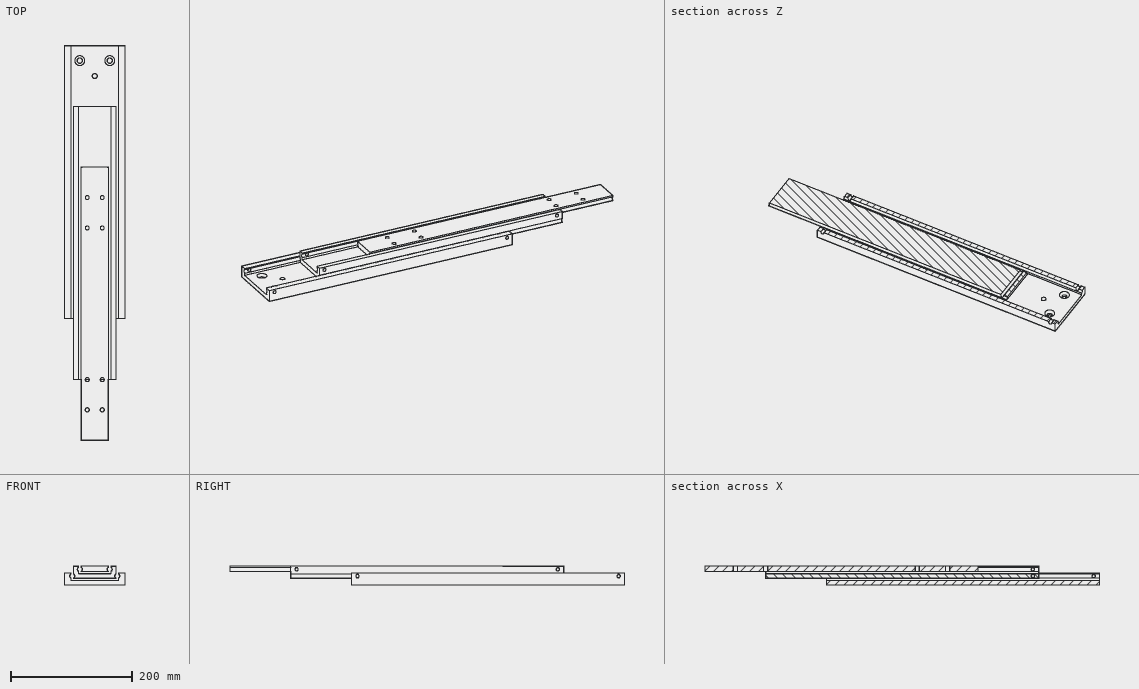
import cadquery as cq

RAIL_LENGTH = 450.0
EXTENSION = 100.0
CHANNEL_HEIGHT = 20.0
FLOOR_THICKNESS = 8.0
RUNNING_CLEARANCE = 3.0

OUTER_WIDTH = 100.0
OUTER_INNER_WIDTH = 78.0
MIDDLE_WIDTH = 70.0
MIDDLE_INNER_WIDTH = 53.0
INNER_WIDTH = 45.0
INNER_THICKNESS = 10.0

MIDDLE_BOTTOM = FLOOR_THICKNESS + RUNNING_CLEARANCE
INNER_BOTTOM = MIDDLE_BOTTOM + FLOOR_THICKNESS + RUNNING_CLEARANCE

OUTER_BACK = 0
MIDDLE_BACK = OUTER_BACK - EXTENSION
INNER_BACK = MIDDLE_BACK - EXTENSION

BALL_RADIUS = 4.0
TRACK_BELOW_TOP = 5.0
LOWER_TRACK_X = (OUTER_INNER_WIDTH + MIDDLE_WIDTH) / 4
LOWER_TRACK_Z = CHANNEL_HEIGHT - TRACK_BELOW_TOP
UPPER_TRACK_X = (MIDDLE_INNER_WIDTH + INNER_WIDTH) / 4
UPPER_TRACK_Z = MIDDLE_BOTTOM + CHANNEL_HEIGHT - TRACK_BELOW_TOP

CROSS_HOLE_DIAMETER = 5.0
CROSS_HOLE_INSET = 10.0

FIXING_HOLE_DIAMETER = 8.5
COUNTERSINK_DIAMETER = 16.0
COUNTERSINK_ANGLE = 90
FIXING_HOLE_X = 25.0
FIXING_HOLE_INSET = 25.0
CENTRE_HOLE_DIAMETER = 8.0
CENTRE_HOLE_INSET = 50.0

LOAD_HOLE_DIAMETER = 6.5
LOAD_HOLE_X = 12.5
LOAD_ROW_INSETS = (50.0, 100.0)


def make_bar(width, bottom, height, back):
    """Rectangular bar of full rail length, centred on X."""
    block = cq.Workplane("XY").box(width, RAIL_LENGTH, height, centered=(True, False, False))
    return block.translate((0, back - RAIL_LENGTH, bottom))


def make_channel(width, inner_width, bottom, back):
    """U-shaped rail that opens upward."""
    body = make_bar(width, bottom, CHANNEL_HEIGHT, back)
    wall_height = CHANNEL_HEIGHT - FLOOR_THICKNESS
    return body.cut(make_bar(inner_width, bottom + FLOOR_THICKNESS, wall_height, back))


def end_positions(back, inset):
    """Y positions at the same inset from the back and the front end of a member."""
    return [back - inset, back - RAIL_LENGTH + inset]


def ball_tracks(track_x, track_z, back):
    """Pair of full-length cylinders that cut the ball tracks."""
    return (
        cq.Workplane("XZ", origin=(0, back, 0))
        .pushPoints([(-track_x, track_z), (track_x, track_z)])
        .circle(BALL_RADIUS)
        .extrude(RAIL_LENGTH)
    )


def cross_drills(width, hole_z, hole_ys):
    """Cylinders along X that pass through the whole width of a rail."""
    return (
        cq.Workplane("YZ", origin=(-width / 2, 0, 0))
        .pushPoints([(y, hole_z) for y in hole_ys])
        .circle(CROSS_HOLE_DIAMETER / 2)
        .extrude(width)
    )


def make_outer_rail():
    rail = make_channel(OUTER_WIDTH, OUTER_INNER_WIDTH, 0, OUTER_BACK)
    rail = rail.cut(ball_tracks(LOWER_TRACK_X, LOWER_TRACK_Z, OUTER_BACK))
    cross_hole_ys = end_positions(OUTER_BACK, CROSS_HOLE_INSET)
    rail = rail.cut(cross_drills(OUTER_WIDTH, LOWER_TRACK_Z, cross_hole_ys))

    fixing_y = -FIXING_HOLE_INSET
    rail = (
        cq.Workplane("XY", origin=(0, OUTER_BACK, FLOOR_THICKNESS))
        .newObject([rail.val()])
        .pushPoints([(-FIXING_HOLE_X, fixing_y), (FIXING_HOLE_X, fixing_y)])
        .cskHole(FIXING_HOLE_DIAMETER, COUNTERSINK_DIAMETER, COUNTERSINK_ANGLE)
    )
    centre_drill = (
        cq.Workplane("XY", origin=(0, OUTER_BACK - CENTRE_HOLE_INSET, 0))
        .circle(CENTRE_HOLE_DIAMETER / 2)
        .extrude(FLOOR_THICKNESS)
    )
    return rail.cut(centre_drill)


def make_middle_rail():
    rail = make_channel(MIDDLE_WIDTH, MIDDLE_INNER_WIDTH, MIDDLE_BOTTOM, MIDDLE_BACK)
    rail = rail.cut(ball_tracks(LOWER_TRACK_X, LOWER_TRACK_Z, MIDDLE_BACK))
    rail = rail.cut(ball_tracks(UPPER_TRACK_X, UPPER_TRACK_Z, MIDDLE_BACK))

    cross_hole_ys = end_positions(MIDDLE_BACK, CROSS_HOLE_INSET)
    rail = rail.cut(cross_drills(MIDDLE_WIDTH, UPPER_TRACK_Z, cross_hole_ys))
    floor_hole_y = MIDDLE_BACK - CROSS_HOLE_INSET
    return rail.cut(cross_drills(MIDDLE_WIDTH, LOWER_TRACK_Z, [floor_hole_y]))


def make_inner_bar():
    slider = make_bar(INNER_WIDTH, INNER_BOTTOM, INNER_THICKNESS, INNER_BACK)
    slider = slider.cut(ball_tracks(UPPER_TRACK_X, UPPER_TRACK_Z, INNER_BACK))
    for inset in LOAD_ROW_INSETS:
        for row_y in end_positions(INNER_BACK, inset):
            drills = (
                cq.Workplane("XY", origin=(0, row_y, INNER_BOTTOM))
                .pushPoints([(-LOAD_HOLE_X, 0), (LOAD_HOLE_X, 0)])
                .circle(LOAD_HOLE_DIAMETER / 2)
                .extrude(INNER_THICKNESS)
            )
            slider = slider.cut(drills)
    return slider


outer_rail = make_outer_rail().solids()
middle_rail = make_middle_rail().solids()
inner_bar = make_inner_bar().solids()

result = cq.Compound.makeCompound([outer_rail.val(), middle_rail.val(), inner_bar.val()])